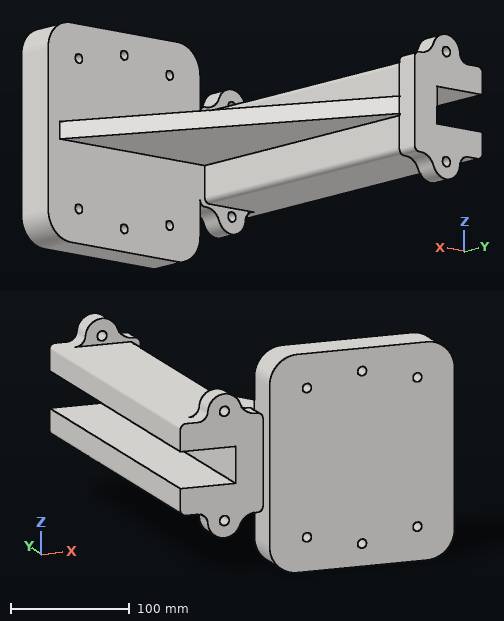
import cadquery as cq
import math

total_width = 243.0
total_length = 315.0
edge_radius = 5.0

rail_front = 15.0
rail_length = total_length - rail_front
rail_width = 70.0
rail_half_height = 40.0
slot_depth = 50.0
slot_height = 32.0

flange_thickness = 20.0
flange_width = 75.0
shoulder_half_height = 43.0
ear_x = 40.0
ear_z = 47.5
ear_radius = 15.0
ear_hole_diameter = 8.5
outer_blend_radius = 9.0
inner_blend_radius = 15.0

plate_width = total_width - flange_width
plate_height = 190.0
plate_thickness = rail_front + flange_thickness
plate_corner_radius = 25.0
plate_center_x = total_width - plate_width / 2
plate_hole_diameter = 8.0
plate_hole_pitch_x = 50.0
side_hole_z = 65.0
middle_hole_z = 75.0

web_thickness = 15.0
web_end_x = 230.0


def cylinder_along_y(x, z, diameter, start, length):
    """Cylinder running in +Y from the given start."""
    circle = cq.Workplane("XZ", origin=(x, start, z)).circle(diameter / 2)
    return circle.extrude(-length)


def make_rail():
    section_plane = cq.Workplane("XZ", origin=(rail_width / 2, rail_front, 0))
    rail = section_plane.rect(rail_width, 2 * rail_half_height).extrude(-rail_length)
    return rail.edges("|Y").fillet(edge_radius)


def blend_points(side, level, radius):
    """Start, middle and end of the concave arc from a flat at the given level to the ear."""
    reach = ear_radius + radius
    rise = level + radius - ear_z
    center_x = ear_x + side * math.sqrt(reach**2 - rise**2)
    center_z = level + radius
    to_ear_x = (ear_x - center_x) / reach
    to_ear_z = (ear_z - center_z) / reach
    bisector_length = math.hypot(to_ear_x, to_ear_z - 1)
    flat = (center_x, level)
    middle = (
        center_x + radius * to_ear_x / bisector_length,
        center_z + radius * (to_ear_z - 1) / bisector_length,
    )
    tangent = (center_x + radius * to_ear_x, center_z + radius * to_ear_z)
    return flat, middle, tangent


def make_flange(start):
    """Flange with an upper half mirrored to form the lower half."""
    outer_flat, outer_middle, outer_tangent = blend_points(-1, rail_half_height, outer_blend_radius)
    inner_flat, inner_middle, inner_tangent = blend_points(1, shoulder_half_height, inner_blend_radius)
    upper = (
        cq.Workplane("XZ", origin=(0, start, 0))
        .lineTo(0, rail_half_height)
        .lineTo(*outer_flat)
        .threePointArc(outer_middle, outer_tangent)
        .threePointArc((ear_x, ear_z + ear_radius), inner_tangent)
        .threePointArc(inner_middle, inner_flat)
        .lineTo(flange_width, shoulder_half_height)
        .lineTo(flange_width, 0)
        .close()
        .extrude(-flange_thickness)
    )
    corners = cq.selectors.BoxSelector(
        (-3, start - 3, rail_half_height - edge_radius),
        (flange_width + 3, start + flange_thickness + 3, shoulder_half_height + edge_radius),
    )
    outer_corner = upper.edges(corners).edges("|Y").edges("<X")
    upper = outer_corner.fillet(edge_radius)
    inner_corner = upper.edges(corners).edges("|Y").edges(">X")
    upper = inner_corner.fillet(edge_radius)
    upper = upper.cut(cylinder_along_y(ear_x, ear_z, ear_hole_diameter, start, flange_thickness))
    return upper.union(upper.mirror("XY"))


def make_plate():
    plate = (
        cq.Workplane("XZ", origin=(plate_center_x, 0, 0))
        .rect(plate_width, plate_height)
        .extrude(-plate_thickness)
        .edges("|Y")
        .fillet(plate_corner_radius)
    )
    for column, hole_z in ((-1, side_hole_z), (0, middle_hole_z), (1, side_hole_z)):
        hole_x = plate_center_x + column * plate_hole_pitch_x
        for z in (-hole_z, hole_z):
            plate = plate.cut(cylinder_along_y(hole_x, z, plate_hole_diameter, 0, plate_thickness))
    return plate


def make_web():
    back_flange_front = total_length - flange_thickness
    outline = [
        (slot_depth, plate_thickness),
        (web_end_x, plate_thickness),
        (flange_width, back_flange_front),
        (slot_depth, back_flange_front),
    ]
    return cq.Workplane("XY").polyline(outline).close().extrude(web_thickness / 2, both=True)


def make_slot():
    slot = cq.Workplane("XY").box(slot_depth, rail_length, slot_height, centered=(False, False, True))
    return slot.translate((0, rail_front, 0))


result = (
    make_rail()
    .union(make_flange(rail_front))
    .union(make_flange(total_length - flange_thickness))
    .union(make_plate())
    .union(make_web())
    .cut(make_slot())
)